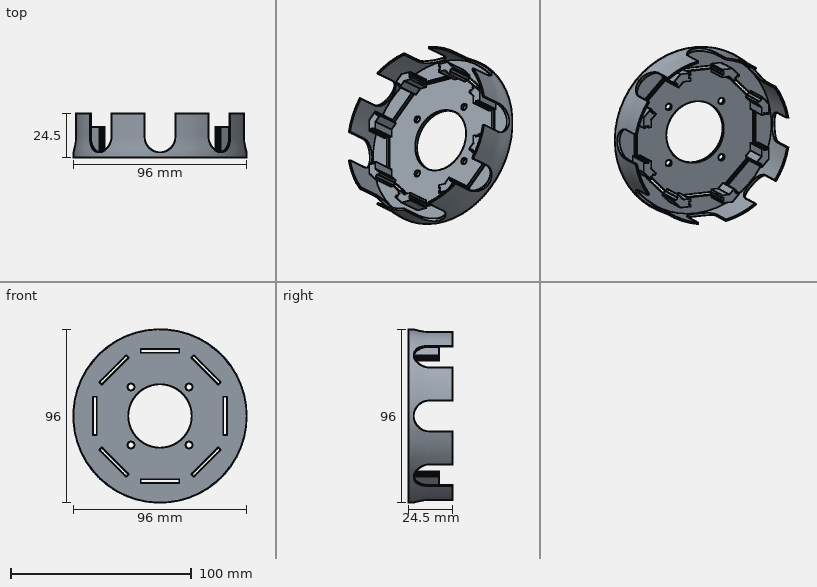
import cadquery as cq
import math

base_radius = 48.0
rim_radius = 47.2
height = 24.5
floor_thickness = 2.0
wall_thickness = 1.0
inner_radius = rim_radius - wall_thickness

side_count = 8
side_angle = 360 / side_count
notch_radius = 8.4
notch_bottom = 3.0
notch_center_height = notch_bottom + notch_radius

bore_radius = 17.5
screw_hole_radius = 1.8
screw_hole_offset = 16.0
slot_length = 21.0
slot_width = 1.8
slot_distance = 36.0

post_top = 17.0
post_outer_distance = 38.0
post_inner_distance = 33.6
lip_overlap = 0.9

FLOOR_PLANE = "XZ"


def make_shell():
    """Floor and wall turned about Y; the outside flares smoothly out toward the floor."""
    return (
        cq.Workplane("XY")
        .moveTo(0, 0)
        .lineTo(base_radius, 0)
        .spline([(rim_radius, notch_center_height)], tangents=[(0, 1), (0, 1)], includeCurrent=True)
        .lineTo(rim_radius, height)
        .lineTo(inner_radius, height)
        .lineTo(inner_radius, floor_thickness)
        .lineTo(0, floor_thickness)
        .close()
        .revolve(360, (0, 0, 0), (0, 1, 0))
    )


def make_notch():
    """Cutter for one notch, reaching outward along +Z from inside the wall."""
    start = inner_radius - notch_radius
    return (
        cq.Workplane("XY", origin=(0, 0, start))
        .moveTo(-notch_radius, height)
        .lineTo(-notch_radius, notch_center_height)
        .threePointArc((0, notch_bottom), (notch_radius, notch_center_height))
        .lineTo(notch_radius, height)
        .close()
        .extrude(base_radius - start)
    )


def make_slot():
    """Cutter for one plate slot through the floor on the +Z side."""
    return cq.Workplane("XY").box(slot_length, floor_thickness, slot_width).translate(
        (0, floor_thickness / 2, slot_distance)
    )


def make_post():
    """One post, symmetric about the ray halfway between the +Z slot and its neighbour toward +X."""
    half_angle = math.radians(side_angle / 2)
    groove_floor = slot_length / 2
    lip_end = groove_floor - lip_overlap
    groove_outer = slot_distance + slot_width / 2
    groove_inner = slot_distance - slot_width / 2

    def corner(distance):
        """Point on the symmetry ray at the given distance from the part axis along Z."""
        return (distance * math.tan(half_angle), distance)

    def mirrored(point):
        """Reflection of a point across the symmetry ray."""
        along, distance = point
        cosine = math.cos(2 * half_angle)
        sine = math.sin(2 * half_angle)
        return (distance * sine - along * cosine, distance * cosine + along * sine)

    side = [
        (lip_end, post_outer_distance),
        (lip_end, groove_outer),
        (groove_floor, groove_outer),
        (groove_floor, groove_inner),
        (lip_end, groove_inner),
        (lip_end, post_inner_distance),
    ]
    other_side = [mirrored(point) for point in reversed(side)]
    outline = [corner(post_outer_distance)] + side + [corner(post_inner_distance)] + other_side
    return cq.Workplane(FLOOR_PLANE).polyline(outline).close().extrude(-post_top)


def around_axis(body, index):
    """Turn a body to the given side of the octagon about Y."""
    return body.rotate((0, 0, 0), (0, 1, 0), index * side_angle)


def make_round_openings():
    """Cutters for the central bore and the four screw holes."""
    bore = cq.Workplane(FLOOR_PLANE).circle(bore_radius).extrude(-floor_thickness)
    screw_holes = (
        cq.Workplane(FLOOR_PLANE)
        .rect(2 * screw_hole_offset, 2 * screw_hole_offset, forConstruction=True)
        .vertices()
        .circle(screw_hole_radius)
        .extrude(-floor_thickness)
    )
    return bore.union(screw_holes)


result = make_shell().cut(make_round_openings())
notch = make_notch()
slot = make_slot()
post = make_post()
for side_index in range(side_count):
    result = result.cut(around_axis(notch, side_index))
    result = result.cut(around_axis(slot, side_index))
    result = result.union(around_axis(post, side_index))